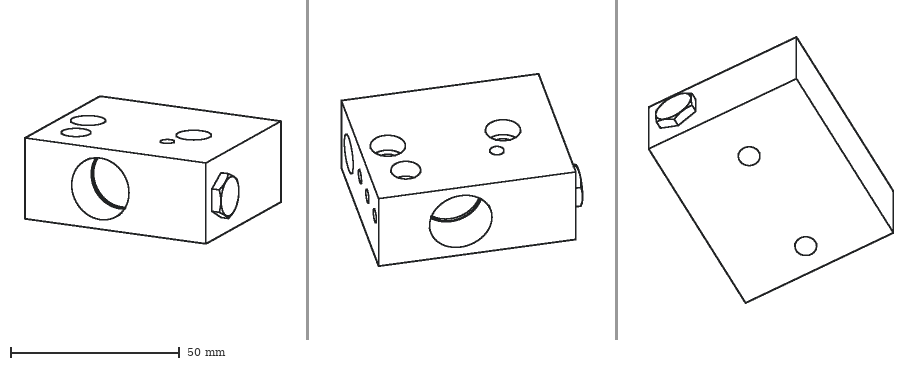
import cadquery as cq
import math

LENGTH = 60.0
WIDTH = 50.0
HEIGHT = 25.0
MID_HEIGHT = HEIGHT / 2

DRILL_POINT_ANGLE = 118.0

MOUNT_DIAMETER = 6.4
MOUNT_SPACING = 35.0
MOUNT_FIRST_X = 8.5
MOUNT_Y = WIDTH / 2
COUNTERBORE_DIAMETER = 10.4
COUNTERBORE_DEPTH = 5.5

PLUG_DIAMETER = 8.0
PLUG_FOOT_Z = MID_HEIGHT

LARGE_TOP_DIAMETER = 8.8
LARGE_TOP_X = 11.0
LARGE_TOP_Y = 12.0
LARGE_TOP_DEPTH = 5.5
SMALL_TOP_DIAMETER = 4.2
SMALL_TOP_X = 39.5
SMALL_TOP_Y = 15.5
SMALL_TOP_DEPTH = 10.0

BORE_X = 25.0
BORE_MOUTH_DIAMETER = 19.0
BORE_MOUTH_DEPTH = 13.0
BORE_DIAMETER = 18.4
BORE_DEPTH = 14.0

PORT_Y = 40.0
PORT_DIAMETER = 11.8
PORT_DEPTH = 15.0
PORT_FLOOR_DIAMETER = 6.0

CHANNEL_DIAMETER = 4.2
CHANNEL_Z = 15.0
CHANNEL_SPACING = 10.0
CHANNEL_FIRST_Y = 5.0
BLIND_CHANNEL_DEPTH = 10.0

HEX_ACROSS_FLATS = 12.0
HEX_HEIGHT = 3.0
HEX_Y = 10.0
HEX_FACE_DIAMETER = 11.8
HEX_CHAMFER_ANGLE = 30.0


def cone_depth(large_diameter, small_diameter=0.0):
    """Axial length of a drill-point cone between two diameters."""
    return (large_diameter - small_diameter) / 2 / math.tan(math.radians(DRILL_POINT_ANGLE / 2))


def top_hole(x, y, diameter, depth):
    """Flat-bottomed cylinder sunk from the top face."""
    return cq.Workplane("XY", origin=(x, y, HEIGHT - depth)).circle(diameter / 2).extrude(depth)


def end_hole(y, z, diameter, depth, floor_diameter=0.0):
    """Cylinder sunk from the -X end, closed by a drill-point cone down to a floor."""
    profile = (
        cq.Workplane("XY", origin=(0, y, z))
        .lineTo(0, diameter / 2)
        .lineTo(depth, diameter / 2)
        .lineTo(depth + cone_depth(diameter, floor_diameter), floor_diameter / 2)
    )
    if floor_diameter > 0:
        profile = profile.lineTo(depth + cone_depth(diameter, floor_diameter), 0)
    return profile.close().revolve(360, (0, 0, 0), (1, 0, 0))


def front_bore():
    """Coaxial stepped bore sunk from the -Y side."""
    entry = cq.Workplane("XZ", origin=(BORE_X, 0, MID_HEIGHT))
    mouth = entry.circle(BORE_MOUTH_DIAMETER / 2).extrude(-BORE_MOUTH_DEPTH)
    return mouth.union(entry.circle(BORE_DIAMETER / 2).extrude(-BORE_DEPTH))


def top_hole_plug():
    """Cylinder from the floor of the large top hole down into the block across the middle channel."""
    plug_length = HEIGHT - LARGE_TOP_DEPTH - PLUG_FOOT_Z
    foot = cq.Workplane("XY", origin=(LARGE_TOP_X, LARGE_TOP_Y, PLUG_FOOT_Z))
    return foot.circle(PLUG_DIAMETER / 2).extrude(plug_length)


def hex_head():
    """Hexagonal head with flats facing +Y and -Y and a conical chamfer on its outer face."""
    corner_radius = HEX_ACROSS_FLATS / math.sqrt(3)
    face_radius = HEX_FACE_DIAMETER / 2
    chamfer_length = (corner_radius - face_radius) * math.tan(math.radians(HEX_CHAMFER_ANGLE))
    base = cq.Workplane("YZ", origin=(LENGTH, HEX_Y, MID_HEIGHT)).transformed(rotate=(0, 0, 90))
    prism = base.polygon(6, 2 * corner_radius).extrude(HEX_HEIGHT)
    envelope = (
        cq.Workplane("XY", origin=(LENGTH, HEX_Y, MID_HEIGHT))
        .lineTo(0, corner_radius)
        .lineTo(HEX_HEIGHT - chamfer_length, corner_radius)
        .lineTo(HEX_HEIGHT, face_radius)
        .lineTo(HEX_HEIGHT, 0)
        .close()
        .revolve(360, (0, 0, 0), (1, 0, 0))
    )
    return prism.intersect(envelope)


block = cq.Workplane("XY").box(LENGTH, WIDTH, HEIGHT, centered=False)

for mount_x in (MOUNT_FIRST_X, MOUNT_FIRST_X + MOUNT_SPACING):
    block = block.cut(top_hole(mount_x, MOUNT_Y, MOUNT_DIAMETER, HEIGHT))
    block = block.cut(top_hole(mount_x, MOUNT_Y, COUNTERBORE_DIAMETER, COUNTERBORE_DEPTH))

block = block.cut(top_hole(LARGE_TOP_X, LARGE_TOP_Y, LARGE_TOP_DIAMETER, LARGE_TOP_DEPTH))
block = block.cut(top_hole(SMALL_TOP_X, SMALL_TOP_Y, SMALL_TOP_DIAMETER, SMALL_TOP_DEPTH))

block = block.cut(front_bore())
block = block.cut(end_hole(PORT_Y, MID_HEIGHT, PORT_DIAMETER, PORT_DEPTH, PORT_FLOOR_DIAMETER))

channel_depths = (BLIND_CHANNEL_DEPTH, LARGE_TOP_X, MOUNT_FIRST_X)
for index, channel_depth in enumerate(channel_depths):
    channel_y = CHANNEL_FIRST_Y + index * CHANNEL_SPACING
    block = block.cut(end_hole(channel_y, CHANNEL_Z, CHANNEL_DIAMETER, channel_depth))

block = block.union(top_hole_plug())
result = block.union(hex_head())